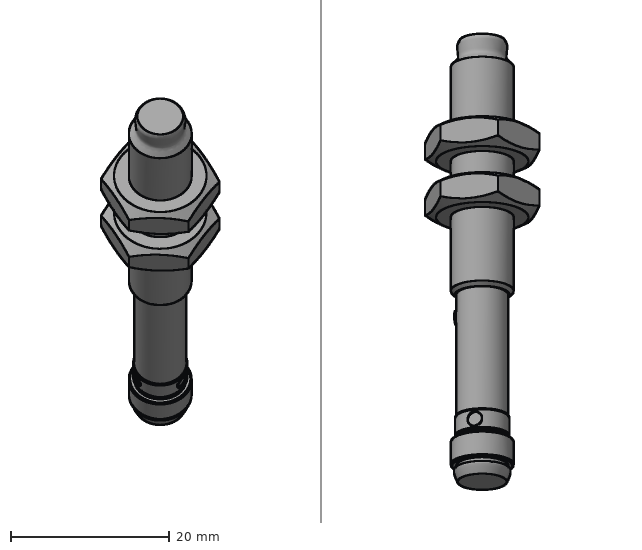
import cadquery as cq
import math

total_height = 59.1
thread_diameter = 8.0
thread_chamfer = 0.55
thread_bottom = 25.05
thread_top = 56.15
tube_diameter = 6.6

nose_face_diameter = 5.8
nose_top_diameter = 6.0
nose_diameter = 6.2
nose_edge_height = 0.25
nose_flare_height = 0.35
nose_root_flare = 0.05
nose_waist_height = 57.3

ring_diameter = 6.9
ring_bottom = 5.95
ring_top = 8.7
ring_chamfer = 0.2
window_diameter = 1.9
window_flat_radius = 3.2
window_angles = (-90, 30, 150)

neck_diameter = 6.5
collar_diameter = thread_diameter
collar_bottom = 2.1
collar_top = 5.5
collar_chamfer = 0.2
plug_rim_diameter = 7.2
plug_rim_bottom = 1.25
plug_rim_top = 1.55
plug_tip_diameter = 6.4
plug_end_diameter = 6.2
plug_tip_chamfer_height = 0.1
plug_bulge = 0.05

adjuster_height = 22.2
adjuster_diameter = 2.0
adjuster_face_radius = 3.4
adjuster_recess_diameter = 1.5
adjuster_recess_depth = 0.1
adjuster_socket_diameter = 1.0
adjuster_socket_depth = 0.25

nut_across_flats = 13
nut_thickness = 4.0
nut_bottoms = (35.45, 42.95)
nut_face_diameter = 11.7
nut_chamfer_angle = 30
nut_turn = 1.8


def make_body():
    """Revolve the stepped barrel, from the plug end up to the nose."""
    thread_radius = thread_diameter / 2
    tube_radius = tube_diameter / 2
    collar_radius = collar_diameter / 2
    ring_radius = ring_diameter / 2
    rim_radius = plug_rim_diameter / 2
    tip_radius = plug_tip_diameter / 2
    nose_radius = nose_diameter / 2
    shoulder_radius = thread_radius - thread_chamfer
    bulge_point = (
        (rim_radius + tip_radius) / 2 + plug_bulge,
        (plug_rim_bottom + plug_tip_chamfer_height) / 2,
    )
    nose_curve = [
        (nose_radius + nose_root_flare, thread_top + nose_flare_height),
        (nose_radius, nose_waist_height),
        (nose_top_diameter / 2, total_height - nose_edge_height),
    ]
    profile = (
        cq.Workplane("XZ")
        .lineTo(plug_end_diameter / 2, 0)
        .lineTo(tip_radius, plug_tip_chamfer_height)
        .threePointArc(bulge_point, (rim_radius, plug_rim_bottom))
        .lineTo(rim_radius, plug_rim_top)
        .lineTo(tube_radius, plug_rim_top)
        .lineTo(tube_radius, collar_bottom)
        .lineTo(collar_radius - collar_chamfer, collar_bottom)
        .lineTo(collar_radius, collar_bottom + collar_chamfer)
        .lineTo(collar_radius, collar_top - collar_chamfer)
        .lineTo(collar_radius - collar_chamfer, collar_top)
        .lineTo(tube_radius, collar_top)
        .lineTo(neck_diameter / 2, ring_bottom)
        .lineTo(ring_radius - ring_chamfer / 2, ring_bottom)
        .lineTo(ring_radius, ring_bottom + ring_chamfer)
        .lineTo(ring_radius, ring_top - ring_chamfer)
        .lineTo(ring_radius - ring_chamfer / 2, ring_top)
        .lineTo(tube_radius, ring_top)
        .lineTo(tube_radius, thread_bottom)
        .lineTo(shoulder_radius, thread_bottom)
        .lineTo(thread_radius, thread_bottom + thread_chamfer)
        .lineTo(thread_radius, thread_top - thread_chamfer)
        .lineTo(shoulder_radius, thread_top)
        .spline(nose_curve, includeCurrent=True)
        .lineTo(nose_face_diameter / 2, total_height)
        .lineTo(0, total_height)
        .close()
    )
    return profile.revolve(360, (0, 0, 0), (0, 1, 0))


def radial_cylinder(diameter, start, end, height, angle):
    """Make a cylinder lying along a radius of the barrel."""
    bar = cq.Workplane("YZ").circle(diameter / 2).extrude(end - start)
    return bar.translate((start, 0, height)).rotate((0, 0, 0), (0, 0, 1), angle)


def cut_windows(body):
    """Sink the round flat windows into the indicator ring."""
    height = (ring_bottom + ring_top) / 2
    for angle in window_angles:
        body = body.cut(
            radial_cylinder(window_diameter, window_flat_radius, ring_diameter, height, angle)
        )
    return body


def add_adjuster(body):
    """Add the adjuster boss with its stepped recess."""
    def step(diameter, start):
        return radial_cylinder(diameter, start, adjuster_face_radius, adjuster_height, 180)

    body = body.union(step(adjuster_diameter, 0))
    body = body.cut(step(adjuster_recess_diameter, adjuster_face_radius - adjuster_recess_depth))
    return body.cut(step(adjuster_socket_diameter, adjuster_face_radius - adjuster_socket_depth))


def make_nut(bottom):
    """Make a hexagon nut with conical corner chamfers on both faces."""
    corner_radius = nut_across_flats / math.sqrt(3)
    face_radius = nut_face_diameter / 2
    corner_drop = (corner_radius - face_radius) * math.tan(math.radians(nut_chamfer_angle))
    hexagon = (
        cq.Workplane("XY")
        .polygon(6, 2 * corner_radius)
        .extrude(nut_thickness)
        .rotate((0, 0, 0), (0, 0, 1), nut_turn)
    )
    envelope = (
        cq.Workplane("XZ")
        .lineTo(face_radius, 0)
        .lineTo(corner_radius, corner_drop)
        .lineTo(corner_radius, nut_thickness - corner_drop)
        .lineTo(face_radius, nut_thickness)
        .lineTo(0, nut_thickness)
        .close()
        .revolve(360, (0, 0, 0), (0, 1, 0))
    )
    return hexagon.intersect(envelope).translate((0, 0, bottom))


result = add_adjuster(cut_windows(make_body()))
for nut_bottom in nut_bottoms:
    result = result.union(make_nut(nut_bottom))